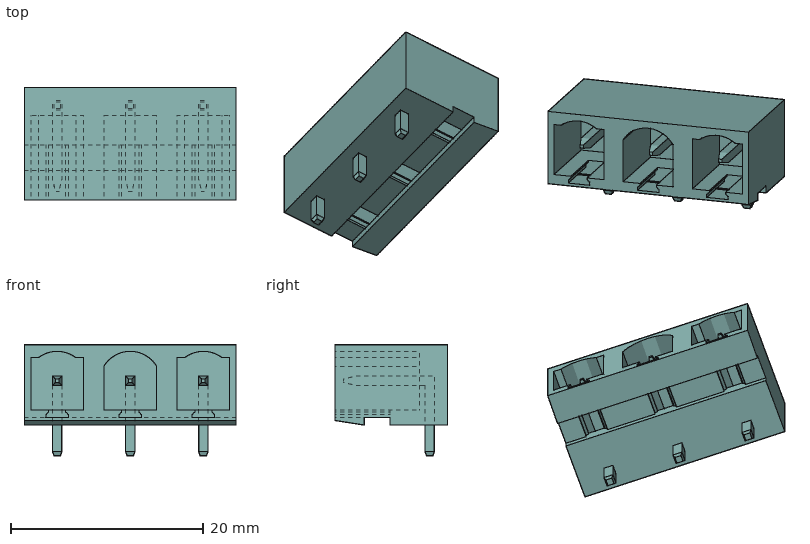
import cadquery as cq


PITCH = 7.6
MIDDLE_X = 0.0
OUTER_PIN_XS = (MIDDLE_X - PITCH, MIDDLE_X + PITCH)

HOUSING_WIDTH = 22.05
HOUSING_DEPTH = 11.75
HOUSING_HEIGHT = 8.4
FRONT_RAMP_DEPTH = 3.09
FRONT_RAMP_RISE = 0.48
NOTCH_LENGTH = 2.65
NOTCH_HEIGHT = 0.8
NOTCH_BACK_Y = FRONT_RAMP_DEPTH + NOTCH_LENGTH

SOCKET_WIDTH = 5.49
SOCKET_DEPTH = 8.82
SOCKET_FLOOR_Z = 1.56
SOCKET_SHOULDER_Z = 7.03
SOCKET_CROWN_Z = 7.7
CROWN_RADIUS = 3.2

GROOVE_LENGTH = NOTCH_BACK_Y
GROOVE_BOTTOM_Z = NOTCH_HEIGHT
GROOVE_BOTTOM_WIDTH = 2.34
GROOVE_NECK_WIDTH = 1.79
GROOVE_FLANK_BOTTOM_Z = 1.1
GROOVE_FLANK_TOP_Z = 1.39

PIN_SIDE = 1.0
CONTACT_Z = 4.63
CONTACT_TIP_Y = 0.93
CONTACT_TIP_SIDE = 0.35
CONTACT_TAPER = 1.25
POST_TO_BACK = 1.87
POST_Y = HOUSING_DEPTH - POST_TO_BACK
POST_LENGTH = 3.2
POST_TIP_SIDE = 0.66
POST_TAPER = 0.45


def make_block():
    """Block with a ramped front underside and a notch across its bottom."""
    return (
        cq.Workplane("YZ", origin=(-HOUSING_WIDTH / 2, 0, 0))
        .moveTo(0, FRONT_RAMP_RISE)
        .lineTo(FRONT_RAMP_DEPTH, 0)
        .lineTo(FRONT_RAMP_DEPTH, NOTCH_HEIGHT)
        .lineTo(NOTCH_BACK_Y, NOTCH_HEIGHT)
        .lineTo(NOTCH_BACK_Y, 0)
        .lineTo(HOUSING_DEPTH, 0)
        .lineTo(HOUSING_DEPTH, HOUSING_HEIGHT)
        .lineTo(0, HOUSING_HEIGHT)
        .close()
        .extrude(HOUSING_WIDTH)
    )


def make_socket_box(x, top_z):
    """Rectangular socket space from the floor up to top_z."""
    return cq.Workplane("XY").box(
        SOCKET_WIDTH, SOCKET_DEPTH, top_z - SOCKET_FLOOR_Z, centered=(True, False, False)
    ).translate((x, 0, SOCKET_FLOOR_Z))


def make_crowned_socket(x):
    """Socket whose roof is one arc from side wall to side wall."""
    crown = (
        cq.Workplane("XZ", origin=(x, 0, SOCKET_CROWN_Z - CROWN_RADIUS))
        .circle(CROWN_RADIUS)
        .extrude(-SOCKET_DEPTH)
    )
    return make_socket_box(x, SOCKET_CROWN_Z).intersect(
        crown.union(make_socket_box(x, SOCKET_CROWN_Z - CROWN_RADIUS))
    )


def make_shouldered_socket(x):
    """Socket with flat shoulders on both sides of the arched roof."""
    return make_crowned_socket(x).union(make_socket_box(x, SOCKET_SHOULDER_Z))


def make_groove(x):
    """Dovetail groove along a socket floor, ending at the back of the notch."""
    half_bottom = GROOVE_BOTTOM_WIDTH / 2
    half_neck = GROOVE_NECK_WIDTH / 2
    return (
        cq.Workplane("XZ", origin=(x, 0, 0))
        .moveTo(-half_bottom, GROOVE_BOTTOM_Z)
        .lineTo(half_bottom, GROOVE_BOTTOM_Z)
        .lineTo(half_bottom, GROOVE_FLANK_BOTTOM_Z)
        .lineTo(half_neck, GROOVE_FLANK_TOP_Z)
        .lineTo(half_neck, SOCKET_FLOOR_Z)
        .lineTo(-half_neck, SOCKET_FLOOR_Z)
        .lineTo(-half_neck, GROOVE_FLANK_TOP_Z)
        .lineTo(-half_bottom, GROOVE_FLANK_BOTTOM_Z)
        .close()
        .extrude(-GROOVE_LENGTH)
    )


def make_taper(start_plane, tip_side, length):
    """Square pin end narrowing along the normal of start_plane."""
    return start_plane.rect(PIN_SIDE, PIN_SIDE).workplane(offset=length).rect(tip_side, tip_side).loft()


def make_pin(x):
    """L-shaped pin: a contact reaching into the socket and a post going down."""
    contact_start_y = CONTACT_TIP_Y + CONTACT_TAPER
    post_start_z = POST_TAPER - POST_LENGTH
    back_y = POST_Y + PIN_SIDE / 2
    inner_y = POST_Y - PIN_SIDE / 2
    top_z = CONTACT_Z + PIN_SIDE / 2
    inner_z = CONTACT_Z - PIN_SIDE / 2
    bar = (
        cq.Workplane("YZ", origin=(x - PIN_SIDE / 2, 0, 0))
        .moveTo(contact_start_y, inner_z)
        .lineTo(inner_y, inner_z)
        .lineTo(inner_y, post_start_z)
        .lineTo(back_y, post_start_z)
        .lineTo(back_y, top_z)
        .lineTo(contact_start_y, top_z)
        .close()
        .extrude(PIN_SIDE)
    )
    contact_end = cq.Workplane("XZ", origin=(x, contact_start_y, CONTACT_Z))
    post_end = cq.Workplane("XY", origin=(x, POST_Y, post_start_z))
    contact_taper = make_taper(contact_end, CONTACT_TIP_SIDE, CONTACT_TAPER)
    post_taper = make_taper(post_end, POST_TIP_SIDE, -POST_TAPER)
    return bar.union(contact_taper).union(post_taper)


def make_housing(pins):
    """Block with a socket and groove for each pin, and a hole fitting each pin."""
    housing = make_block().cut(make_crowned_socket(MIDDLE_X)).cut(make_groove(MIDDLE_X))
    for x in OUTER_PIN_XS:
        housing = housing.cut(make_shouldered_socket(x)).cut(make_groove(x))
    for pin in pins:
        housing = housing.cut(pin)
    return housing


pins = [make_pin(x) for x in (MIDDLE_X, *OUTER_PIN_XS)]
housing = make_housing(pins)

result = cq.Compound.makeCompound([housing.val(), *[pin.val() for pin in pins]])